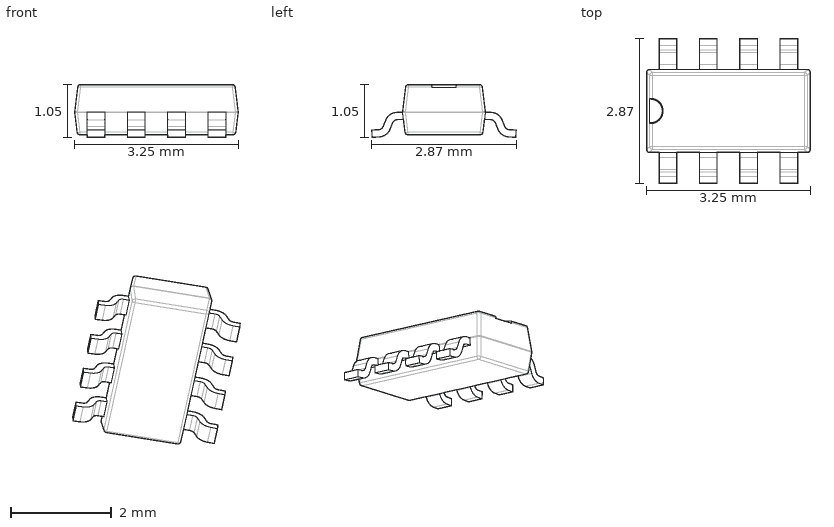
import cadquery as cq
import math

BODY_LENGTH = 3.25
BODY_WIDTH = 1.648
BODY_BOTTOM = 0.052
BODY_TOP = 1.05
PARTING_HEIGHT = 0.5
DRAFT_ANGLE = 7.0
EDGE_RADIUS = 0.06
PARTING_TRIM = EDGE_RADIUS * (1 / math.cos(math.radians(DRAFT_ANGLE)) - 1)

NOTCH_RADIUS = 0.25
NOTCH_DEPTH = 0.062
NOTCH_CENTRE_X = -1.547
NOTCH_DRAFT = 15.0

LEADS_PER_SIDE = 4
LEAD_PITCH = 0.8
LEAD_WIDTH = 0.355
LEAD_THICKNESS = 0.15
LEAD_SPAN = 2.87
RISER_ANGLE = 68.0
FOOT_ANGLE = 3.0
FOOT_LENGTH = 0.14
INNER_BEND_RADIUS = 0.1
OUTER_BEND_RADIUS = INNER_BEND_RADIUS + LEAD_THICKNESS
SHANK_OVERRUN = 0.065
SHANK_END = -BODY_WIDTH / 2 + SHANK_OVERRUN

FOOT_COS = math.cos(math.radians(FOOT_ANGLE))
FOOT_SIN = math.sin(math.radians(FOOT_ANGLE))
RISER_COS = math.cos(math.radians(RISER_ANGLE))
RISER_SIN = math.sin(math.radians(RISER_ANGLE))
HEEL_HEIGHT = LEAD_THICKNESS * FOOT_COS + FOOT_LENGTH * FOOT_SIN
BEND_RISE = INNER_BEND_RADIUS * (FOOT_COS - RISER_COS) + OUTER_BEND_RADIUS * (1 - RISER_COS)
RISER_LENGTH = (PARTING_HEIGHT - HEEL_HEIGHT - BEND_RISE) / RISER_SIN


def make_half(height):
    """One drafted half of the body, shrinking away from the parting plane."""
    return (
        cq.Workplane("XY")
        .workplane(offset=PARTING_HEIGHT)
        .rect(BODY_LENGTH + 2 * PARTING_TRIM, BODY_WIDTH + 2 * PARTING_TRIM)
        .extrude(height, taper=DRAFT_ANGLE)
    )


def make_notch():
    """Round cutter that narrows slightly towards the notch floor."""
    return (
        cq.Workplane("XY")
        .workplane(offset=BODY_TOP)
        .center(NOTCH_CENTRE_X, 0)
        .circle(NOTCH_RADIUS)
        .extrude(-NOTCH_DEPTH, taper=NOTCH_DRAFT)
    )


def make_body():
    upper = make_half(BODY_TOP - PARTING_HEIGHT)
    lower = make_half(BODY_BOTTOM - PARTING_HEIGHT)
    return upper.union(lower).edges().fillet(EDGE_RADIUS).cut(make_notch())


def step(point, distance, angle):
    """Point reached by moving a distance at an angle in degrees above the +Y axis."""
    turn = math.radians(angle)
    return (point[0] + distance * math.cos(turn), point[1] + distance * math.sin(turn))


def bend(start, radius, start_angle, end_angle):
    """Middle and end of a tangent arc whose heading turns from start_angle to end_angle."""
    side = 90 if end_angle > start_angle else -90
    centre = step(start, radius, start_angle + side)
    middle = step(centre, radius, (start_angle + end_angle) / 2 - side)
    return middle, step(centre, radius, end_angle - side)


def lead_edge(tip, foot_bend_radius, shoulder_bend_radius):
    """Points along one edge of the lead, from the foot tip to the level shank."""
    heel = step(tip, FOOT_LENGTH, FOOT_ANGLE)
    foot_middle, riser_start = bend(heel, foot_bend_radius, FOOT_ANGLE, RISER_ANGLE)
    riser_end = step(riser_start, RISER_LENGTH, RISER_ANGLE)
    shoulder_middle, shank_start = bend(riser_end, shoulder_bend_radius, RISER_ANGLE, 0)
    return [heel, foot_middle, riser_start, riser_end, shoulder_middle, shank_start]


def make_lead(x, turn, body):
    """Gull-wing lead centred on x, turned about Z to its side, butting against the body wall."""
    tip_top = (-LEAD_SPAN / 2, LEAD_THICKNESS * FOOT_COS)
    tip_bottom = step(tip_top, LEAD_THICKNESS, FOOT_ANGLE - 90)
    top = lead_edge(tip_top, INNER_BEND_RADIUS, OUTER_BEND_RADIUS)
    bottom = lead_edge(tip_bottom, OUTER_BEND_RADIUS, INNER_BEND_RADIUS)
    top_heel, top_foot_bend, top_riser_start, top_riser_end, top_shoulder, top_shank = top
    low_heel, low_foot_bend, low_riser_start, low_riser_end, low_shoulder, low_shank = bottom
    lead = (
        cq.Workplane("YZ")
        .moveTo(*tip_top)
        .lineTo(*top_heel)
        .threePointArc(top_foot_bend, top_riser_start)
        .lineTo(*top_riser_end)
        .threePointArc(top_shoulder, top_shank)
        .lineTo(SHANK_END, top_shank[1])
        .lineTo(SHANK_END, low_shank[1])
        .lineTo(*low_shank)
        .threePointArc(low_shoulder, low_riser_end)
        .lineTo(*low_riser_start)
        .threePointArc(low_foot_bend, low_heel)
        .lineTo(*tip_bottom)
        .close()
        .extrude(LEAD_WIDTH / 2, both=True)
        .rotate((0, 0, 0), (0, 0, 1), turn)
        .translate((x, 0, 0))
    )
    return lead.cut(body)


def make_leads(body):
    """Both rows of leads, each lead a separate solid."""
    first_x = -LEAD_PITCH * (LEADS_PER_SIDE - 1) / 2
    leads = []
    for turn in (0, 180):
        for index in range(LEADS_PER_SIDE):
            leads.append(make_lead(first_x + index * LEAD_PITCH, turn, body))
    return leads


body = make_body()
leads = make_leads(body)
result = cq.Compound.makeCompound([body.val()] + [lead.val() for lead in leads])